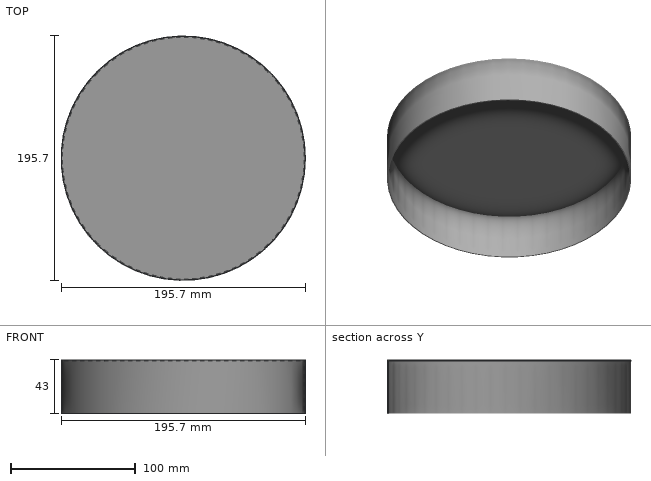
import cadquery as cq

outer_diameter = 195.7
inner_diameter = 193.7
height = 43.0
wall_thickness = (outer_diameter - inner_diameter) / 2
top_thickness = wall_thickness
cavity_depth = height - top_thickness


def make_body():
    """Solid disc standing on the XY plane."""
    return cq.Workplane("XY").circle(outer_diameter / 2).extrude(height)


def make_cavity():
    """Round hollow that opens at the bottom and stops under the top."""
    return cq.Workplane("XY").circle(inner_diameter / 2).extrude(cavity_depth)


result = make_body().cut(make_cavity())